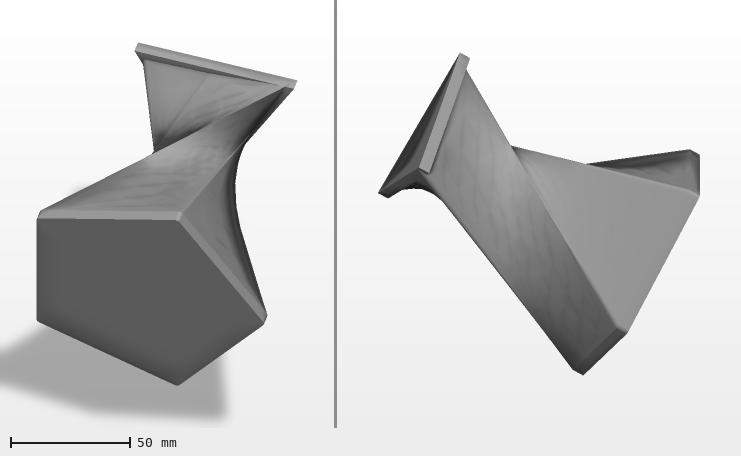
import cadquery as cq
import math

length = 110.0
plate_thickness = 5.0
corner_radius = 2.0

pentagon_sides = 5
pentagon_radius = 55.5

triangle_half_width = 35.1
triangle_top = 28.3
triangle_tip = -41.5

runout_width = 0.1

end_skin = 0.1

straight_tolerance = 1.21e-06

pentagon_step = 2 * math.pi / pentagon_sides
pentagon = [
    (pentagon_radius * math.cos(i * pentagon_step), pentagon_radius * math.sin(i * pentagon_step))
    for i in range(pentagon_sides)
]
triangle_right = (triangle_half_width, triangle_top)
triangle_left = (-triangle_half_width, triangle_top)
triangle_bottom = (0, triangle_tip)
triangle = [triangle_right, triangle_left, triangle_bottom]


def unit_towards(start, end):
    """Unit direction from one (x, z) point to another."""
    distance = math.dist(start, end)
    return (end[0] - start[0]) / distance, (end[1] - start[1]) / distance


def along(start, direction, distance):
    return start[0] + direction[0] * distance, start[1] + direction[1] * distance


def rounded_corner(before, corner, after):
    """Start, middle and end of the arc that rounds a corner."""
    back = unit_towards(corner, before)
    ahead = unit_towards(corner, after)
    half_angle = math.acos(back[0] * ahead[0] + back[1] * ahead[1]) / 2
    setback = corner_radius / math.tan(half_angle)
    bisector = unit_towards((0, 0), (back[0] + ahead[0], back[1] + ahead[1]))
    arc_depth = corner_radius / math.sin(half_angle) - corner_radius
    return along(corner, back, setback), along(corner, bisector, arc_depth), along(corner, ahead, setback)


def side_runout(start, end):
    """Start, middle and end of a narrow strip halfway along a straight side."""
    middle = ((start[0] + end[0]) / 2, (start[1] + end[1]) / 2)
    direction = unit_towards(start, end)
    return along(middle, direction, -runout_width / 2), middle, along(middle, direction, runout_width / 2)


def sharp_corner(before, corner, after):
    """Start, middle and end of a narrow strip that folds around a sharp corner."""
    start = along(corner, unit_towards(corner, before), runout_width / 2)
    end = along(corner, unit_towards(corner, after), runout_width / 2)
    return start, ((start[0] + end[0]) / 2, (start[1] + end[1]) / 2), end


def section_edges(corners, y):
    """Closed loop of edges at position y: each corner followed by the line to the next one."""
    edges = []
    for i, (start, middle, end) in enumerate(corners):
        next_start = corners[(i + 1) % len(corners)][0]
        a, m, b, c = [cq.Vector(x, y, z) for x, z in (start, middle, end, next_start)]
        if (m - a).cross(b - m).Length < straight_tolerance:
            edges.append(cq.Edge.makeLine(a, b))
        else:
            edges.append(cq.Edge.makeThreePointArc(a, m, b))
        edges.append(cq.Edge.makeLine(b, c))
    return edges


pentagon_corners = [
    rounded_corner(pentagon[i - 1], pentagon[i], pentagon[(i + 1) % pentagon_sides])
    for i in range(pentagon_sides)
]

triangle_corners = [
    rounded_corner(triangle_left, triangle_bottom, triangle_right),
    side_runout(triangle_bottom, triangle_right),
    sharp_corner(triangle_bottom, triangle_right, triangle_left),
    side_runout(triangle_right, triangle_left),
    rounded_corner(triangle_right, triangle_left, triangle_bottom),
]

front_face = cq.Face.makeFromWires(cq.Wire.assembleEdges(section_edges(pentagon_corners, 0)))
front_plate = cq.Workplane(cq.Solid.extrudeLinear(front_face, cq.Vector(0, plate_thickness, 0)))

body_start = section_edges(pentagon_corners, plate_thickness)
body_end = section_edges(triangle_corners, length)
body_faces = [cq.Face.makeRuledSurface(a, b) for a, b in zip(body_start, body_end)]
for end_edges in (body_start, body_end):
    body_faces.append(cq.Face.makeFromWires(cq.Wire.assembleEdges(end_edges)))
twisted_body = cq.Workplane(cq.Solid.makeSolid(cq.Shell.makeShell(body_faces)).fix())

rear_plate = cq.Workplane("XZ", origin=(0, length, 0)).polyline(triangle).close().extrude(plate_thickness)

body_front = cq.Workplane("XY").box(length, length - end_skin, length).translate(
    (0, (length - end_skin) / 2, 0)
)
trimmed_body = twisted_body.intersect(body_front)

result = front_plate.union(trimmed_body).union(rear_plate)